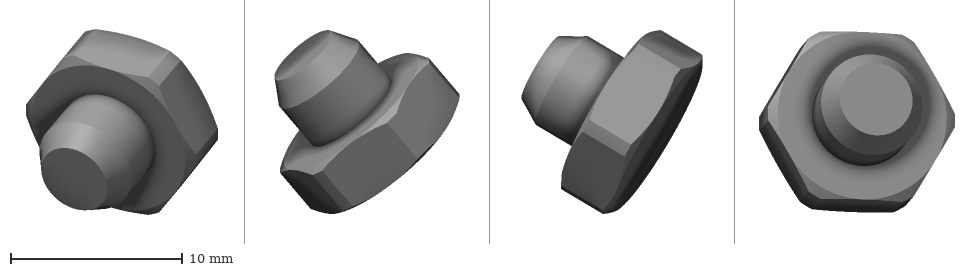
import cadquery as cq
import math

hexagon_sides = 6
across_flats = 10.0
corner_diameter = 11.1
head_thickness = 3.5
head_chamfer_angle = 30.0

total_length = 8.0
pin_diameter = 6.0
tip_length = 1.48
tip_half_angle = 30.0


def make_head():
    """Hexagon trimmed by a cylinder that is chamfered at both ends."""
    point_to_point = across_flats / math.cos(math.pi / hexagon_sides)
    hexagon = cq.Workplane("XZ").polygon(hexagon_sides, point_to_point).extrude(head_thickness)

    face_radius = across_flats / 2
    corner_radius = corner_diameter / 2
    chamfer_depth = (corner_radius - face_radius) * math.tan(math.radians(head_chamfer_angle))
    envelope = (
        cq.Workplane("XY")
        .polyline([
            (0, 0),
            (face_radius, 0),
            (corner_radius, -chamfer_depth),
            (corner_radius, chamfer_depth - head_thickness),
            (face_radius, -head_thickness),
            (0, -head_thickness),
        ])
        .close()
        .revolve(360, (0, 0, 0), (0, 1, 0))
    )
    return hexagon.intersect(envelope)


def make_pin():
    """Cylindrical pin with a conical tip, rooted halfway inside the head."""
    pin_radius = pin_diameter / 2
    tip_radius = pin_radius - tip_length * math.tan(math.radians(tip_half_angle))
    root = -head_thickness / 2
    return (
        cq.Workplane("XY")
        .polyline([
            (0, root),
            (pin_radius, root),
            (pin_radius, tip_length - total_length),
            (tip_radius, -total_length),
            (0, -total_length),
        ])
        .close()
        .revolve(360, (0, 0, 0), (0, 1, 0))
    )


result = make_head().union(make_pin())